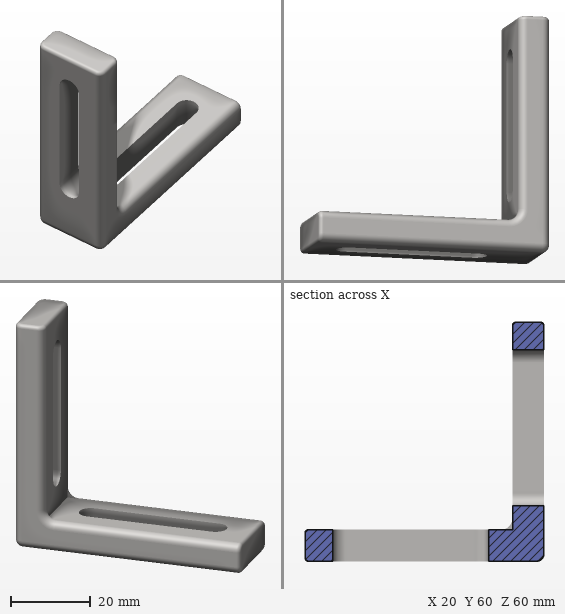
import cadquery as cq

width = 20.0
leg_length = 60.0
thickness = 8.0

slot_width = 6.0
slot_end_margin = 7.0
slot_length = 39.0

long_edge_radius = 2.0
free_end_radius = 1.0
inner_corner_radius = 2.7

slot_center = leg_length - slot_end_margin - slot_length / 2
flat_width = width - 2 * long_edge_radius


def l_body():
    """Square-cornered L: one leg along +Y, the other along +Z, centred on X."""
    return (
        cq.Workplane("YZ")
        .polyline([
            (0, 0),
            (leg_length, 0),
            (leg_length, thickness),
            (thickness, thickness),
            (thickness, leg_length),
            (0, leg_length),
        ])
        .close()
        .extrude(width / 2, both=True)
    )


def round_inner_corner(body):
    """Round the concave edge where the inner faces of the legs meet."""
    inner_edge = body.edges(cq.selectors.NearestToPointSelector((0, thickness, thickness)))
    return inner_edge.fillet(inner_corner_radius)


def round_outer_edges(body):
    """Round the long edges and outer corner first, then the rims of the two free ends."""
    side_edges = body.faces("<X or >X").edges("not(>Y or >Z)")
    outer_corner = body.faces("<Y").edges("<Z")
    rounded = side_edges.add(outer_corner).fillet(long_edge_radius)
    return rounded.faces(">Y or >Z").edges().fillet(free_end_radius)


def square_inner_corner(body):
    """Keep the inner corner sharp across the flat strip, leaving a small web at each side."""
    clearance = (
        cq.Workplane("XY")
        .box(flat_width, inner_corner_radius, inner_corner_radius, centered=(True, False, False))
        .translate((0, thickness, thickness))
    )
    return body.cut(clearance)


def slot_cutter(plane, depth):
    """Slot running along a leg; the sign of depth sends it through the leg's thickness."""
    return (
        cq.Workplane(plane)
        .center(0, slot_center)
        .slot2D(slot_length, slot_width, 90)
        .extrude(depth)
    )


result = square_inner_corner(round_outer_edges(round_inner_corner(l_body())))
for leg_plane, cut_depth in (("XY", thickness), ("XZ", -thickness)):
    result = result.cut(slot_cutter(leg_plane, cut_depth))